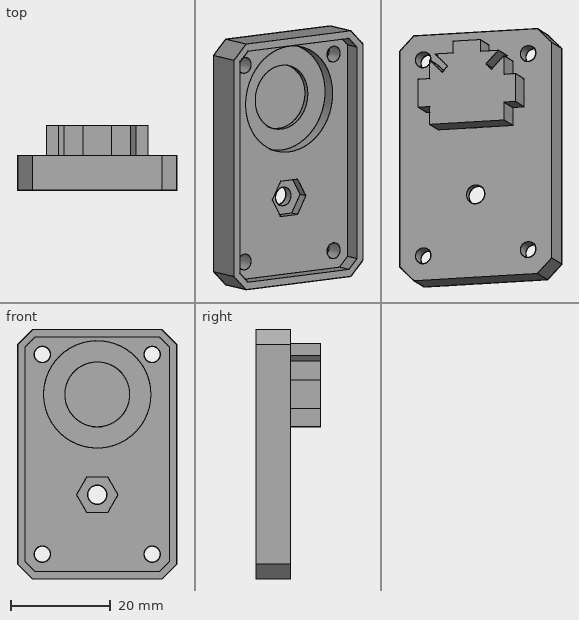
import cadquery as cq
import math

width = 31.9
height = 50
plate_depth = 7
corner_bevel = 3
wall = 1.5
cavity_depth = 3.2
cavity_bevel = 2

pocket_z = 12
pocket_diameter = 21.5
pocket_depth = 2.6
recess_diameter = 13
recess_depth = 1

screw_diameter = 3.2
screw_x = 11
screw_z = 20

bolt_z = -8.1
bolt_diameter = 3.8
nut_across_corners = 8.3
nut_depth = 2

boss_height = 6
boss_half_width = 7.8
boss_drop = 6.5
lug_reach = 10.2
lug_width = 5.7
lug_angles = (0, 90, 180)
slot_mouth = 1.15
slot_width = slot_mouth * math.sqrt(2)
slot_floor_radius = 6.5
slot_angles = (45, 135)

cavity_floor = cavity_depth
pocket_floor = cavity_floor + pocket_depth


def section_at(y):
    """Sketch plane at depth y, with local axes X and Z; a negative extrusion runs toward +Y."""
    return cq.Workplane("XZ", origin=(0, y, 0))


def bevelled_block(block_width, block_height, depth, bevel):
    block = section_at(0).rect(block_width, block_height).extrude(-depth)
    return block.edges("|Y").chamfer(bevel)


def make_tray():
    outside = bevelled_block(width, height, plate_depth, corner_bevel)
    cavity = bevelled_block(width - 2 * wall, height - 2 * wall, cavity_depth, cavity_bevel)
    return outside.cut(cavity)


def radial_bar(start, end, bar_width, angle):
    """Bar as tall as the boss, running outward from its centre axis at an angle from +X toward +Z."""
    length = end - start
    bar = section_at(plate_depth).center(start + length / 2, 0).rect(length, bar_width).extrude(-boss_height)
    return bar.rotate((0, 0, 0), (0, 1, 0), -angle)


def make_boss():
    block_height = boss_half_width + boss_drop
    block = section_at(plate_depth).center(0, (boss_half_width - boss_drop) / 2)
    boss = block.rect(2 * boss_half_width, block_height).extrude(-boss_height)
    for angle in lug_angles:
        boss = boss.union(radial_bar(0, lug_reach, lug_width, angle))
    corner_radius = boss_half_width * math.sqrt(2)
    for angle in slot_angles:
        boss = boss.cut(radial_bar(slot_floor_radius, corner_radius, slot_width, angle))
    return boss.translate((0, 0, pocket_z))


def make_round_pocket():
    pocket = section_at(cavity_floor).circle(pocket_diameter / 2).extrude(-pocket_depth)
    recess = section_at(pocket_floor).circle(recess_diameter / 2).extrude(-recess_depth)
    return pocket.union(recess).translate((0, 0, pocket_z))


def make_screw_holes():
    corners = section_at(0).rect(2 * screw_x, 2 * screw_z, forConstruction=True).vertices()
    return corners.circle(screw_diameter / 2).extrude(-plate_depth)


def make_bolt_seat():
    hole = section_at(0).circle(bolt_diameter / 2).extrude(-plate_depth)
    nut = section_at(cavity_floor).polygon(6, nut_across_corners).extrude(-nut_depth)
    return hole.union(nut).translate((0, 0, bolt_z))


result = make_tray().union(make_boss())
result = result.cut(make_round_pocket())
result = result.cut(make_screw_holes())
result = result.cut(make_bolt_seat())

result = result.translate((0, -(plate_depth + boss_height) / 2, 0))